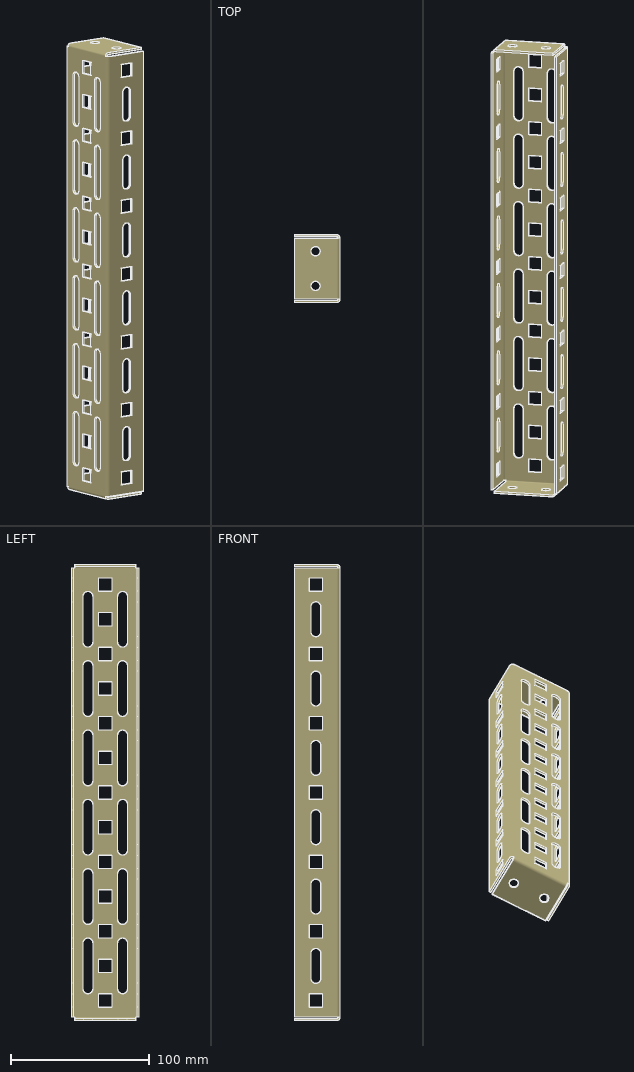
import cadquery as cq

depth = 33.0
width = 49.0
height = 329.0

thickness = 1.5
inner_bend_radius = 1.0
outer_bend_radius = inner_bend_radius + thickness

flange_length = height - 2 * outer_bend_radius
tab_width = width - 2 * outer_bend_radius

pitch = 50.0
slot_count = 6
slot_width = 7.0
flange_slot_length = 25.0
web_slot_length = 40.0
web_slot_spacing = 25.0
square_side = 9.5
flange_cutout_x = 15.5

tab_hole_diameter = 6.5
tab_hole_spacing = 25.0
tab_hole_x = 15.25


def centred_row(count, spacing):
    """Evenly spaced positions centred on zero."""
    return [(i - (count - 1) / 2) * spacing for i in range(count)]


slot_rows = centred_row(slot_count, pitch)
flange_square_rows = centred_row(slot_count + 1, pitch)
web_square_rows = centred_row(2 * slot_count + 1, pitch / 2)


def u_sheet(plane, span, length):
    """U-shaped sheet, open towards -X, centred on the plane and folded at both back corners."""
    half = span / 2
    inner_half = half - thickness
    bend_start = depth - outer_bend_radius
    bend_half = half - outer_bend_radius
    web_inside = depth - thickness
    return (
        cq.Workplane(plane)
        .moveTo(0, -half)
        .lineTo(bend_start, -half)
        .radiusArc((depth, -bend_half), -outer_bend_radius)
        .lineTo(depth, bend_half)
        .radiusArc((bend_start, half), -outer_bend_radius)
        .lineTo(0, half)
        .lineTo(0, inner_half)
        .lineTo(bend_start, inner_half)
        .radiusArc((web_inside, bend_half), inner_bend_radius)
        .lineTo(web_inside, -bend_half)
        .radiusArc((bend_start, -inner_half), inner_bend_radius)
        .lineTo(0, -inner_half)
        .close()
        .extrude(length / 2, both=True)
    )


def flange_cutter():
    """Alternating squares and slots running through both side flanges."""
    slots = (
        cq.Workplane("XZ")
        .pushPoints([(flange_cutout_x, z) for z in slot_rows])
        .slot2D(flange_slot_length, slot_width, 90)
        .extrude(width, both=True)
    )
    squares = (
        cq.Workplane("XZ")
        .pushPoints([(flange_cutout_x, z) for z in flange_square_rows])
        .rect(square_side, square_side)
        .extrude(width, both=True)
    )
    return slots.union(squares)


def web_cutter():
    """A middle column of squares between two columns of long slots, through the web."""
    slot_columns = centred_row(2, web_slot_spacing)
    slots = (
        cq.Workplane("YZ")
        .pushPoints([(y, z) for y in slot_columns for z in slot_rows])
        .slot2D(web_slot_length, slot_width, 90)
        .extrude(2 * depth)
    )
    squares = (
        cq.Workplane("YZ")
        .pushPoints([(0, z) for z in web_square_rows])
        .rect(square_side, square_side)
        .extrude(2 * depth)
    )
    return slots.union(squares)


def tab_cutter():
    """A pair of round holes through both end tabs."""
    return (
        cq.Workplane("XY")
        .pushPoints([(tab_hole_x, y) for y in centred_row(2, tab_hole_spacing)])
        .circle(tab_hole_diameter / 2)
        .extrude(height, both=True)
    )


flanged_web = u_sheet("XY", width, flange_length)
tabbed_web = u_sheet("XZ", height, tab_width)
body = flanged_web.union(tabbed_web)

result = body.cut(flange_cutter()).cut(web_cutter()).cut(tab_cutter())